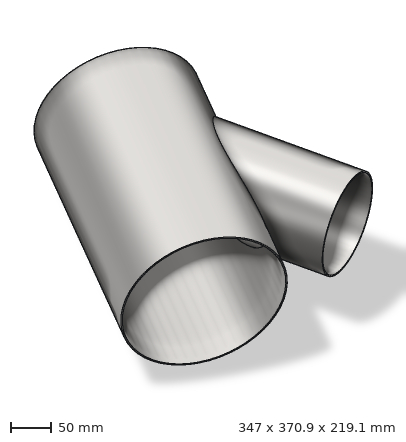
import cadquery as cq
import math

RUN_OUTER_DIAMETER = 219.1
BRANCH_OUTER_DIAMETER = 139.7
WALL = 2.0
RUN_LENGTH = 347.0
BRANCH_ANGLE = 45.0
BRANCH_AXIS_START = 63.65
BRANCH_REACH = 299.78

angle = math.radians(BRANCH_ANGLE)
run_direction = cq.Vector(1, 0, 0)
branch_direction = cq.Vector(math.cos(angle), math.sin(angle), 0)
run_start = cq.Vector(0, 0, 0)
axis_crossing = cq.Vector(BRANCH_AXIS_START, 0, 0)


def run_cylinder(diameter):
    """Cylinder along the full length of the run."""
    return cq.Workplane(cq.Solid.makeCylinder(diameter / 2, RUN_LENGTH, run_start, run_direction))


def branch_cylinder(diameter):
    """Cylinder along the branch, from the axis crossing to the branch end."""
    return cq.Workplane(
        cq.Solid.makeCylinder(diameter / 2, BRANCH_REACH, axis_crossing, branch_direction)
    )


def bore_diameter(outer_diameter):
    return outer_diameter - 2 * WALL


body = run_cylinder(RUN_OUTER_DIAMETER).union(branch_cylinder(BRANCH_OUTER_DIAMETER))
run_bore = run_cylinder(bore_diameter(RUN_OUTER_DIAMETER))
branch_bore = branch_cylinder(bore_diameter(BRANCH_OUTER_DIAMETER))
result = body.cut(run_bore).cut(branch_bore)